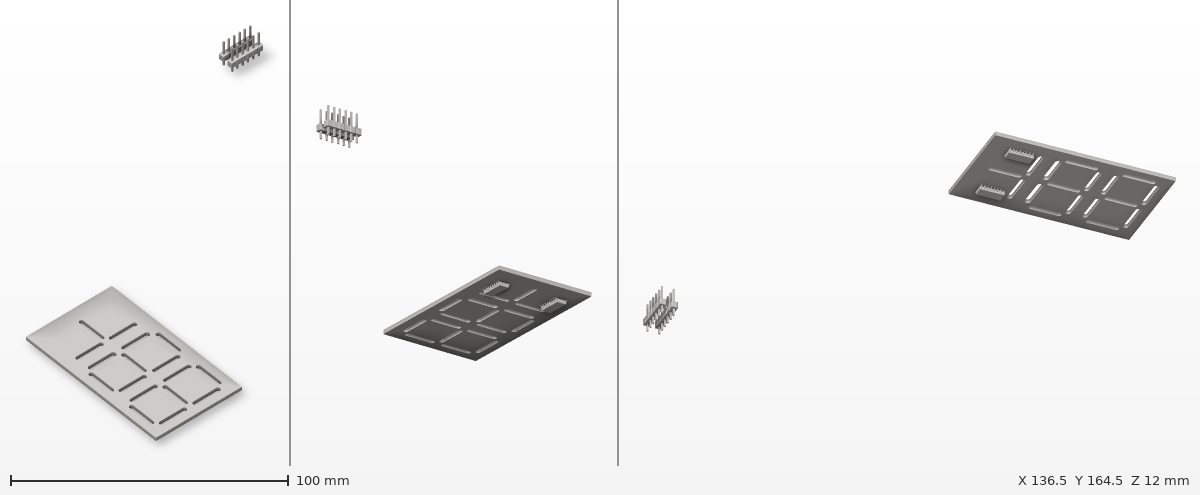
import cadquery as cq

OVERALL_LENGTH = 136.5
OVERALL_WIDTH = 164.5
OVERALL_HEIGHT = 12.0

BOARD_LENGTH = 71.2
BOARD_WIDTH = 41.1
BOARD_THICKNESS = 1.6

WINDOW_LENGTH = 13.0
WINDOW_WIDTH = 2.0
WIDE_WINDOW_WIDTH = 2.3
DIGIT_HEIGHT = 32.1
WINDOW_PITCH = DIGIT_HEIGHT / 2
HALF_PITCH = WINDOW_PITCH / 2
MIDDLE_Y = 20.2
MINUS_X = 12.8
ONE_X = MINUS_X + HALF_PITCH
TENS_X = 36.0
TENS_LEFT_X = 27.8
TENS_RAISE = 0.43
TENS_MIDDLE_Y = MIDDLE_Y + TENS_RAISE
UNITS_X = 58.5

CHIP_LENGTH = 9.9
CHIP_WIDTH = 4.0
CHIP_HEIGHT = 1.45
CHIP_STANDOFF = 0.3
CHIP_DRAFT_ANGLE = 8.0
CHIP_X = 12.8
CHIP_CENTRES_Y = (7.5, 33.0)
LEADS_PER_SIDE = 8
LEAD_PITCH = 1.27
LEAD_WIDTH = 0.41
LEAD_THICKNESS = 0.2
LEAD_FOOT = 0.41
LEAD_SPAN = 5.5
LEAD_ROOT = 0.5

PINS_PER_HEADER = 6
PIN_ROW_SPAN = 12.7
PIN_PITCH = PIN_ROW_SPAN / (PINS_PER_HEADER - 1)
PIN_SIZE = 0.64
PIN_LENGTH = 11.5
PIN_ABOVE_CELL = 6.1
CELL_WIDTH = 2.5
CELL_HEIGHT = 2.5
CELL_CHAMFER = 0.2
HEADER_COUNT = 2
HEADER_SPACING = 4.6
PIN_TOP_Z = OVERALL_HEIGHT - CHIP_STANDOFF - CHIP_HEIGHT
CELL_TOP_Z = PIN_TOP_Z - PIN_ABOVE_CELL
FIRST_HEADER_X = BOARD_LENGTH - OVERALL_LENGTH + CELL_WIDTH / 2
LAST_CELL_Y = OVERALL_WIDTH - PIN_PITCH / 2


def window(x, y, angle, width=WINDOW_WIDTH):
    """Cutter for one segment window; the angle is 0 for level and 90 for upright."""
    return cq.Workplane("XY").center(x, y).slot2D(WINDOW_LENGTH, width, angle).extrude(BOARD_THICKNESS)


def level_window(x, y):
    return [window(x, y, 0)]


def upright_pair(x, middle_y, width=WINDOW_WIDTH):
    """The upper and lower upright windows on one side of a digit."""
    return [window(x, middle_y + side * HALF_PITCH, 90, width) for side in (-1, 1)]


def make_board():
    minus_one = level_window(MINUS_X, MIDDLE_Y) + upright_pair(ONE_X, MIDDLE_Y)

    tens = upright_pair(TENS_LEFT_X, MIDDLE_Y, WIDE_WINDOW_WIDTH)
    tens += upright_pair(TENS_X + HALF_PITCH, TENS_MIDDLE_Y)
    tens += level_window(TENS_X, MIDDLE_Y)
    for side in (-1, 1):
        tens += level_window(TENS_X, TENS_MIDDLE_Y + side * WINDOW_PITCH)

    units = []
    for side in (-1, 1):
        units += upright_pair(UNITS_X + side * HALF_PITCH, MIDDLE_Y)
    for row in (-1, 0, 1):
        units += level_window(UNITS_X, MIDDLE_Y + row * WINDOW_PITCH)

    board = cq.Workplane("XY").box(BOARD_LENGTH, BOARD_WIDTH, BOARD_THICKNESS, centered=False)
    for cutter in minus_one + tens + units:
        board = board.cut(cutter)
    return board


def make_lead(x, parting_z):
    """One lead on the +Y side: out of the body at the parting line, up to the board, then outward."""
    root_y = CHIP_WIDTH / 2 - LEAD_ROOT
    tip_y = LEAD_SPAN / 2
    riser_y = tip_y - LEAD_FOOT
    shoulder_bottom = parting_z - LEAD_THICKNESS / 2
    shoulder_top = parting_z + LEAD_THICKNESS / 2
    profile = [
        (root_y, shoulder_bottom),
        (riser_y, shoulder_bottom),
        (riser_y, -LEAD_THICKNESS),
        (tip_y, -LEAD_THICKNESS),
        (tip_y, 0),
        (riser_y - LEAD_THICKNESS, 0),
        (riser_y - LEAD_THICKNESS, shoulder_top),
        (root_y, shoulder_top),
    ]
    lead = cq.Workplane("YZ").polyline(profile).close().extrude(LEAD_WIDTH)
    return lead.translate((x - LEAD_WIDTH / 2, 0, 0))


def make_chip(y):
    """A chip hanging below the board, its lead feet resting on the board's underside."""
    half_height = CHIP_HEIGHT / 2
    parting_z = -CHIP_STANDOFF - half_height
    upper_half = cq.Workplane("XY").rect(CHIP_LENGTH, CHIP_WIDTH).extrude(half_height, taper=CHIP_DRAFT_ANGLE)
    chip = upper_half.union(upper_half.mirror("XY")).translate((0, 0, parting_z))
    for i in range(LEADS_PER_SIDE):
        lead = make_lead((i - (LEADS_PER_SIDE - 1) / 2) * LEAD_PITCH, parting_z)
        chip = chip.union(lead).union(lead.mirror("XZ"))
    return chip.translate((CHIP_X, y, 0))


def make_header_cell(x, y):
    """One chamfered housing cell with its pin."""
    cell = (
        cq.Workplane("XY")
        .box(CELL_WIDTH, PIN_PITCH, CELL_HEIGHT)
        .edges("|Z")
        .chamfer(CELL_CHAMFER)
        .translate((x, y, CELL_TOP_Z - CELL_HEIGHT / 2))
    )
    pin = cq.Workplane("XY").box(PIN_SIZE, PIN_SIZE, PIN_LENGTH)
    return cell.union(pin.translate((x, y, PIN_TOP_Z - PIN_LENGTH / 2)))


def make_header(x):
    header = make_header_cell(x, LAST_CELL_Y)
    for i in range(1, PINS_PER_HEADER):
        header = header.union(make_header_cell(x, LAST_CELL_Y - i * PIN_PITCH))
    return header


board = make_board()
chips = [make_chip(y) for y in CHIP_CENTRES_Y]
headers = [make_header(FIRST_HEADER_X + i * HEADER_SPACING) for i in range(HEADER_COUNT)]

result = cq.Compound.makeCompound(
    [body.solids().val() for body in (board, *chips, *headers)]
)